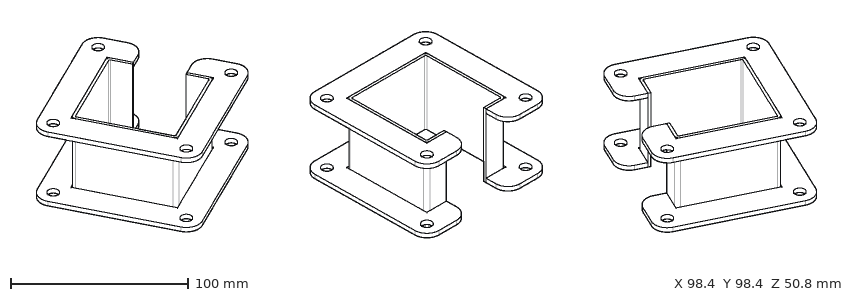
import cadquery as cq

plate_side = 98.4
total_height = 50.8

plate_thickness = 3.15
plate_corner_radius = 9.5
hole_diameter = 7.2
hole_spacing = plate_side - 2 * plate_corner_radius

tube_side = 63.5
tube_wall = 1.9
tube_outer_radius = 2.8
tube_inner_radius = tube_outer_radius - tube_wall
slot_width = 31.8


def cut_slot(body):
    """Cut the gap through the +Y side, from the center of the body outward."""
    slot_length = plate_side / 2
    slot = (
        cq.Workplane("XY")
        .center(0, slot_length / 2)
        .rect(slot_width, slot_length)
        .extrude(total_height)
    )
    return body.cut(slot)


def make_plate(base_z):
    """C-shaped flange with a sharp-cornered square opening that fits around the tube."""
    blank = cq.Workplane("XY").rect(plate_side, plate_side).extrude(plate_thickness)
    plate = cut_slot(blank)
    plate = plate.faces("<Y or >Y").edges("|Z").fillet(plate_corner_radius)

    opening = cq.Workplane("XY").rect(tube_side, tube_side).extrude(plate_thickness)
    holes = (
        cq.Workplane("XY")
        .rect(hole_spacing, hole_spacing, forConstruction=True)
        .vertices()
        .circle(hole_diameter / 2)
        .extrude(plate_thickness)
    )
    return plate.cut(opening).cut(holes).translate((0, 0, base_z))


def rounded_bar(side, corner_radius):
    """Full-height square bar with rounded vertical edges."""
    return cq.Workplane("XY").rect(side, side).extrude(total_height).edges("|Z").fillet(corner_radius)


def make_tube():
    """Slotted square tube that passes through both plates, flush with their outer faces."""
    outside = rounded_bar(tube_side, tube_outer_radius)
    inside = rounded_bar(tube_side - 2 * tube_wall, tube_inner_radius)
    return cut_slot(outside.cut(inside))


tube = make_tube()
plate_levels = [0, total_height - plate_thickness]
plates = [make_plate(level) for level in plate_levels]

result = cq.Compound.makeCompound([tube.val(), *[plate.val() for plate in plates]])